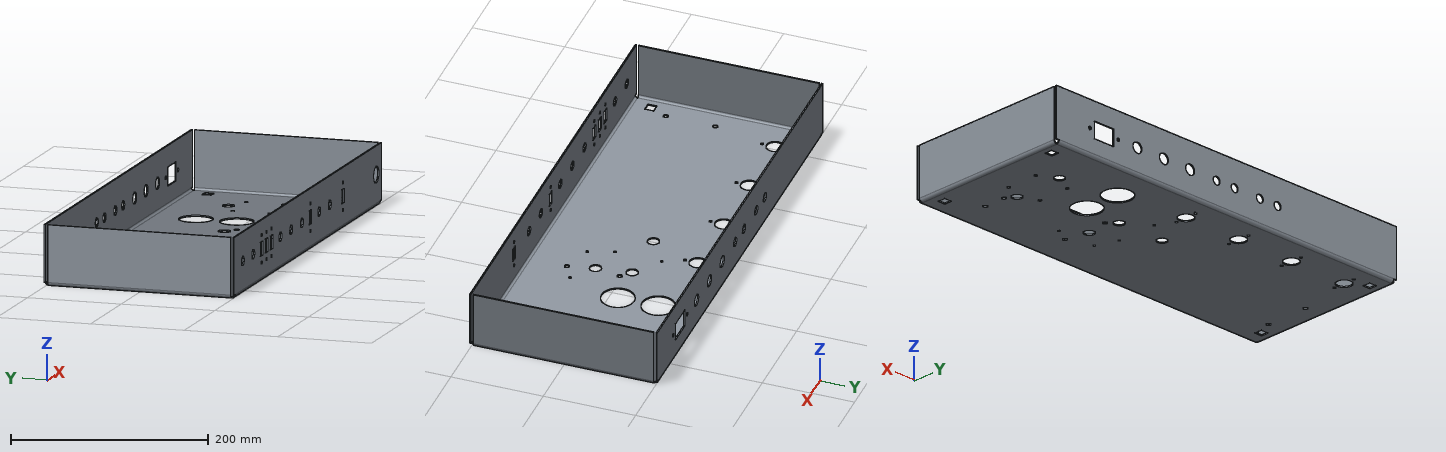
import cadquery as cq

LENGTH = 482.5
DEPTH = 203.0
HEIGHT = 63.5
SHEET = 1.5
BEND_RADIUS = 4.0

FLOOR_LENGTH = LENGTH - 2 * BEND_RADIUS
FLOOR_DEPTH = DEPTH - 2 * BEND_RADIUS
CUT_DEPTH = 4 * SHEET

LARGE_CAN_HOLE = 35.0
SOCKET_HOLE = 18.5
LAMP_HOLE = 17.5
GROMMET_HOLE = 12.5
CONTROL_HOLE = 9.5
STANDOFF_HOLE = 5.5
BRACKET_HOLE = 3.7
INLET_SCREW_HOLE = 3.7
SOCKET_SCREW_HOLE = 3.1
SWITCH_SCREW_HOLE = 3.05
SMALL_SCREW_HOLE = 2.8

CORNER_CUTOUT = 9.5
CORNER_CUTOUT_CENTRES = [(226.0, 78.5), (-226.0, 78.0), (-226.0, -79.0), (223.5, -79.0)]
SOCKET_COUNT = 4
SOCKET_PITCH = 75.0
FIRST_SOCKET_X = -203.5
SOCKET_Y = 63.5
SOCKET_SCREW_SPACING = 28.0
LARGE_CAN_CENTRES = [(107.5, 53.0), (108.5, 9.5)]
GROMMET_CENTRES = [(178.5, 41.5), (178.5, -20.5), (0.0, 7.5), (60.5, 7.0), (66.0, -30.5)]
STANDOFF_CENTRES = [
    (-216.5, -6.0),
    (-216.5, -59.5),
    (71.0, -2.5),
    (73.0, -59.0),
    (186.0, -32.0),
    (186.0, -59.0),
]
BRACKET_CENTRE = (178.0, 9.5)
BRACKET_SPACING_X = 44.5
BRACKET_SPACING_Y = 39.5
SMALL_SCREW_CENTRES = [(31.5, 28.5), (31.5, -22.0), (41.0, -48.7), (91.0, -48.7)]

FRONT_ROW_Z = 34.0
FRONT_CONTROL_X = [-213.0, -178.5, -90.0, -54.5, -19.5, 37.0, 72.0]
LAMP_X = 224.0
SWITCH_X = [-150.5, -134.5, -118.0, 8.5, 115.5]
SWITCH_WIDTH = 7.5
SWITCH_HEIGHT = 14.5
SWITCH_SCREW_SPACING = 28.5

BACK_ROW_Z = 31.5
BACK_CONTROL_X = [-72.5, -47.5, -11.5, 14.0]
BACK_GROMMET_X = [51.5, 89.0, 126.5]
INLET_X = 173.5
INLET_WIDTH = 27.0
INLET_HEIGHT = 20.0
INLET_SCREW_SPACING = 40.0


def bent_channel(span, flat_width):
    """Channel with its bends and walls across X, extruded over flat_width along Y."""
    half = span / 2
    inner_radius = BEND_RADIUS - SHEET
    flat = half - BEND_RADIUS
    profile = (
        cq.Workplane("XZ")
        .moveTo(-half, HEIGHT)
        .lineTo(-half, BEND_RADIUS)
        .radiusArc((-flat, 0), -BEND_RADIUS)
        .lineTo(flat, 0)
        .radiusArc((half, BEND_RADIUS), -BEND_RADIUS)
        .lineTo(half, HEIGHT)
        .lineTo(half - SHEET, HEIGHT)
        .lineTo(half - SHEET, BEND_RADIUS)
        .radiusArc((flat, SHEET), inner_radius)
        .lineTo(-flat, SHEET)
        .radiusArc((-half + SHEET, BEND_RADIUS), inner_radius)
        .lineTo(-half + SHEET, HEIGHT)
        .close()
    )
    return profile.extrude(flat_width / 2, both=True)


def long_wall(y_outer, inward):
    """Part of a front or back wall above its bend, running the full length of the chassis."""
    y_middle = y_outer + inward * SHEET / 2
    wall = cq.Workplane("XY").box(LENGTH, SHEET, HEIGHT - BEND_RADIUS, centered=(True, True, False))
    return wall.translate((0, y_middle, BEND_RADIUS))


def floor_plane():
    """Plane at mid-thickness of the floor."""
    return cq.Workplane("XY").workplane(offset=SHEET / 2)


def floor_holes(centres, diameter):
    return floor_plane().pushPoints(centres).circle(diameter / 2).extrude(CUT_DEPTH, both=True)


def floor_cutters():
    sockets = [(FIRST_SOCKET_X + i * SOCKET_PITCH, SOCKET_Y) for i in range(SOCKET_COUNT)]
    socket_screws = [
        (x, y + side * SOCKET_SCREW_SPACING / 2) for x, y in sockets for side in (-1, 1)
    ]
    bracket_x, bracket_y = BRACKET_CENTRE
    bracket_screws = [
        (bracket_x + i * BRACKET_SPACING_X / 2, bracket_y + j * BRACKET_SPACING_Y / 2)
        for i in (-1, 1)
        for j in (-1, 1)
    ]
    corners = floor_plane().pushPoints(CORNER_CUTOUT_CENTRES).rect(CORNER_CUTOUT, CORNER_CUTOUT)
    return [
        corners.extrude(CUT_DEPTH, both=True),
        floor_holes(sockets, SOCKET_HOLE),
        floor_holes(socket_screws, SOCKET_SCREW_HOLE),
        floor_holes(LARGE_CAN_CENTRES, LARGE_CAN_HOLE),
        floor_holes(GROMMET_CENTRES, GROMMET_HOLE),
        floor_holes(STANDOFF_CENTRES, STANDOFF_HOLE),
        floor_holes(bracket_screws, BRACKET_HOLE),
        floor_holes(SMALL_SCREW_CENTRES, SMALL_SCREW_HOLE),
    ]


def wall_plane(y):
    """Plane in a long wall: its axes are the chassis X and Z."""
    return cq.Workplane("XZ", origin=(0, y, 0))


def wall_holes(y, centres, diameter):
    return wall_plane(y).pushPoints(centres).circle(diameter / 2).extrude(CUT_DEPTH, both=True)


def wall_windows(y, centres, width, height):
    return wall_plane(y).pushPoints(centres).rect(width, height).extrude(CUT_DEPTH, both=True)


def row(x_places, z):
    return [(x, z) for x in x_places]


def front_wall_cutters():
    y = -DEPTH / 2
    switches = row(SWITCH_X, FRONT_ROW_Z)
    screws = [(x, z + side * SWITCH_SCREW_SPACING / 2) for x, z in switches for side in (-1, 1)]
    return [
        wall_holes(y, row(FRONT_CONTROL_X, FRONT_ROW_Z), CONTROL_HOLE),
        wall_holes(y, [(LAMP_X, FRONT_ROW_Z)], LAMP_HOLE),
        wall_windows(y, switches, SWITCH_WIDTH, SWITCH_HEIGHT),
        wall_holes(y, screws, SWITCH_SCREW_HOLE),
    ]


def back_wall_cutters():
    y = DEPTH / 2
    inlet_screws = [(INLET_X + side * INLET_SCREW_SPACING / 2, BACK_ROW_Z) for side in (-1, 1)]
    return [
        wall_holes(y, row(BACK_CONTROL_X, BACK_ROW_Z), CONTROL_HOLE),
        wall_holes(y, row(BACK_GROMMET_X, BACK_ROW_Z), GROMMET_HOLE),
        wall_windows(y, [(INLET_X, BACK_ROW_Z)], INLET_WIDTH, INLET_HEIGHT),
        wall_holes(y, inlet_screws, INLET_SCREW_HOLE),
    ]


end_channel = bent_channel(LENGTH, FLOOR_DEPTH)
long_channel = bent_channel(DEPTH, FLOOR_LENGTH).rotate((0, 0, 0), (0, 0, 1), 90)
chassis = end_channel.union(long_channel)
chassis = chassis.union(long_wall(-DEPTH / 2, 1)).union(long_wall(DEPTH / 2, -1))

for cutter in floor_cutters() + front_wall_cutters() + back_wall_cutters():
    chassis = chassis.cut(cutter)

result = chassis